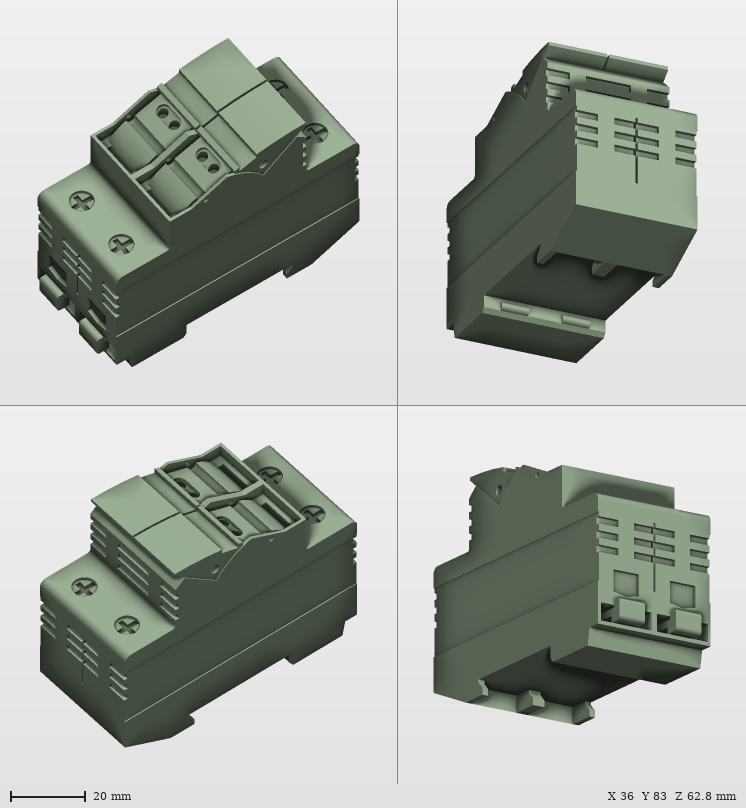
import cadquery as cq
import math


module_count = 2
module_width = 18.0
module_depth = 80.0
total_height = 62.8
shoulder_height = 42.0
shoulder_radius = 2.15
half_width = module_width / 2

tower_front = 17.5
tower_back = 62.6
tower_foot_radius = 0.9
tower_deck_z = 54.1
tower_slope_start_y = 24.8
tower_peak_y, tower_peak_z = 36.4, 59.3
tower_back_z = 56.8
tower_notch_y, tower_notch_z = 59.4, 59.4

pivot_y, pivot_z = 48.6, 55.4
pivot_diameter = 3.0
notch_bottom_y, notch_bottom_z = 48.4, 50.9
notch_arc_y, notch_arc_z = 43.8, 55.5
side_inset = 0.3
lever_back_z = 61.8
lever_arc_y, lever_arc_z = 55.2, 62.5
lever_step_y, lever_step_z = 46.4, 61.3
lever_step_height = 1.3
tab_back_y, tab_front_y = 40.7, 39.2
tab_foot_z = 58.3
tab_back_z, tab_front_z = 59.85, 59.35
tab_underside_z = 58.1

pocket_wall_front = 0.9
pocket_half_width = 8.1
pocket_floor_z = 50.4
drawer_half_width = 7.05
drawer_face_top_y, drawer_face_top_z = 39.35, 57.85
groove_back_y, groove_front_y = 30.7, 27.8
groove_edge_z = 54.9
groove_depth = 1.4
nose_radius = 14.6
nose_start_angle = 22.0
nose_foot_y = 19.8
nose_half_width = 5.2
axle_diameter = 1.6
axle_y, axle_z = 29.55, 54.45

probe_spacing = 5.1
probe_diameter = 3.0
probe_depth = 3.3
probe_y = 36.7
slot_width = 4.1
slot_depth = 1.0

rail_slot_height = 4.8
rail_slot_front, rail_slot_back = 23.1, 58.0
rail_hook_y = 56.1
rail_hook_tip_z, rail_hook_root_z = 1.9, 3.9
rear_foot_y = 64.25
hook_cheek = 1.8
rear_slope_z = 7.0
block_bottom_front, block_top_front = 5.1, 4.15
block_bottom_back = 22.1
block_corner_z = 1.3

relief_bottom, relief_top = 16.9, 36.3

vent_depth = 1.2
vent_height = 2.0
vent_pitch = 4.0
vent_inner_x = 2.4
body_vent_top = 35.0
tower_vent_top = 54.95
vent_rows = 3

marker_half_width = 4.1
marker_top, marker_side_bottom, marker_tip = 20.9, 14.8, 13.9
marker_depth = 1.2

latch_half_width = 4.1
latch_reach = 3.0
latch_bottom, latch_top = 6.2, 12.45
latch_radius = 1.2
latch_heel_z = 10.1
latch_heel_run = 0.8
latch_tab_back = 1.1
latch_arm_bottom = 8.1
window_half_width = 8.1
window_bottom, window_top = 5.9, 10.95
window_depth = 8.3
nub_reach = 1.0
nub_bottom, nub_top = 1.3, 3.8

screw_inset = 8.05
screw_diameter = 7.0
screw_sink = 1.0
cross_depth = 1.25
cross_width = 1.6
cross_length = 5.9


def extrude_across(profile, half):
    """Extrude a Y-Z outline symmetrically to both sides of the module's middle plane."""
    return profile.close().extrude(half, both=True)


def block(x_range, y_range, z_range):
    """Axis-aligned box between the given limits."""
    (x0, x1), (y0, y1), (z0, z1) = x_range, y_range, z_range
    return cq.Workplane("XY").box(x1 - x0, y1 - y0, z1 - z0, centered=False).translate((x0, y0, z0))


def cross_pin(y, z, diameter):
    """Cylinder running across the whole module."""
    return cq.Workplane("YZ").center(y, z).circle(diameter / 2).extrude(module_width, both=True)


def make_housing():
    diagonal = math.sqrt(0.5)
    bend = shoulder_radius * (1 - diagonal)
    foot_bend = tower_foot_radius * (1 - diagonal)
    foot_z = shoulder_height + tower_foot_radius
    outline = (
        cq.Workplane("YZ")
        .moveTo(block_bottom_front, 0)
        .lineTo(block_top_front, rail_slot_height)
        .lineTo(0, rail_slot_height)
        .lineTo(0, shoulder_height - shoulder_radius)
        .threePointArc((bend, shoulder_height - bend), (shoulder_radius, shoulder_height))
        .lineTo(tower_front - tower_foot_radius, shoulder_height)
        .threePointArc((tower_front - foot_bend, shoulder_height + foot_bend), (tower_front, foot_z))
        .lineTo(tower_front, tower_deck_z)
        .lineTo(tower_slope_start_y, tower_deck_z)
        .lineTo(tower_peak_y, tower_peak_z)
        .threePointArc((notch_arc_y, notch_arc_z), (notch_bottom_y, notch_bottom_z))
        .lineTo(tower_notch_y, tower_notch_z)
        .lineTo(tower_back, tower_back_z)
        .lineTo(tower_back, foot_z)
        .threePointArc(
            (tower_back + foot_bend, shoulder_height + foot_bend),
            (tower_back + tower_foot_radius, shoulder_height),
        )
        .lineTo(module_depth - shoulder_radius, shoulder_height)
        .threePointArc(
            (module_depth - bend, shoulder_height - bend),
            (module_depth, shoulder_height - shoulder_radius),
        )
        .lineTo(module_depth, rear_slope_z)
        .lineTo(rear_foot_y, 0)
        .lineTo(rail_hook_y, 0)
        .lineTo(rail_hook_y, rail_hook_tip_z)
        .lineTo(rail_slot_back, rail_hook_root_z)
        .lineTo(rail_slot_back, rail_slot_height)
        .lineTo(rail_slot_front, rail_slot_height)
        .lineTo(rail_slot_front, block_corner_z)
        .lineTo(block_bottom_back, 0)
    )
    return extrude_across(outline, half_width)


def make_hook_gap():
    """Gap in the rear foot that leaves a rail hook only at each side."""
    half_gap = half_width - hook_cheek
    return block((-half_gap, half_gap), (rail_hook_y, rear_foot_y), (0, rail_slot_height))


def make_side_reliefs():
    """Shallow bands cleared along the full length of both sides."""
    depth_range = (0, module_depth)
    height_range = (relief_bottom, relief_top)
    left = block((-half_width, side_inset - half_width), depth_range, height_range)
    right = block((half_width - side_inset, half_width), depth_range, height_range)
    return left.union(right)


def make_vents():
    """Three rows of slots, open to the sides, on the front, back and tower back."""
    walls = [
        (0, vent_depth, body_vent_top),
        (module_depth - vent_depth, module_depth, body_vent_top),
        (tower_back - vent_depth, tower_back, tower_vent_top),
    ]
    vents = cq.Workplane("XY")
    for y_start, y_end, top in walls:
        for row in range(vent_rows):
            row_top = top - row * vent_pitch
            height_range = (row_top - vent_height, row_top)
            for x_range in ((-half_width, -vent_inner_x), (vent_inner_x, half_width)):
                vents = vents.add(block(x_range, (y_start, y_end), height_range))
    return vents.combine()


def make_marker_recess():
    """Pentagonal label recess, pointed at the bottom."""
    return (
        cq.Workplane("XZ")
        .polyline([
            (-marker_half_width, marker_top),
            (marker_half_width, marker_top),
            (marker_half_width, marker_side_bottom),
            (0, marker_tip),
            (-marker_half_width, marker_side_bottom),
        ])
        .close()
        .extrude(-marker_depth)
    )


def make_pocket():
    """Open fuse pocket that runs back underneath the lever."""
    x_range = (-pocket_half_width, pocket_half_width)
    return block(x_range, (tower_front + pocket_wall_front, notch_bottom_y), (pocket_floor_z, total_height))


def make_lever():
    outline = (
        cq.Workplane("YZ")
        .moveTo(notch_bottom_y, notch_bottom_z)
        .lineTo(tower_back, lever_back_z)
        .lineTo(tower_back, total_height)
        .threePointArc((lever_arc_y, lever_arc_z), (lever_step_y, lever_step_z))
        .lineTo(lever_step_y, lever_step_z - lever_step_height)
        .lineTo(tab_back_y, tab_foot_z)
        .lineTo(tab_back_y, tab_back_z)
        .lineTo(tab_front_y, tab_front_z)
        .lineTo(tab_front_y, tab_underside_z)
        .threePointArc((notch_arc_y, notch_arc_z), (notch_bottom_y, notch_bottom_z))
    )
    return extrude_across(outline, half_width - side_inset)


nose_axis_y = groove_front_y + nose_radius * math.sin(math.radians(nose_start_angle))
nose_axis_z = groove_edge_z - nose_radius * math.cos(math.radians(nose_start_angle))


def nose_height(y):
    """Height of the drawer nose surface at a given depth."""
    return nose_axis_z + math.sqrt(nose_radius**2 - (y - nose_axis_y) ** 2)


def make_drawer(front_y, half):
    """Fuse drawer with a sloping face, a round grip groove and a curved nose ending at front_y."""
    foot_z = nose_height(front_y)
    middle_y = (front_y + groove_front_y) / 2
    groove_middle_y = (groove_front_y + groove_back_y) / 2
    outline = (
        cq.Workplane("YZ")
        .moveTo(front_y, foot_z)
        .threePointArc((middle_y, nose_height(middle_y)), (groove_front_y, groove_edge_z))
        .threePointArc((groove_middle_y, groove_edge_z - groove_depth), (groove_back_y, groove_edge_z))
        .lineTo(drawer_face_top_y, drawer_face_top_z)
        .lineTo(notch_bottom_y, drawer_face_top_z)
        .lineTo(notch_bottom_y, foot_z)
    )
    return extrude_across(outline, half)


def make_nose_well():
    """Slot in the pocket floor for the narrow foot of the nose."""
    x_range = (-nose_half_width, nose_half_width)
    return block(x_range, (nose_foot_y, groove_front_y), (nose_height(nose_foot_y), pocket_floor_z))


def make_probe_openings():
    """Shallow round-ended slot square to the drawer face, with two upright holes in its floor."""
    slope = math.atan2(drawer_face_top_z - groove_edge_z, drawer_face_top_y - groove_back_y)
    face_z = groove_edge_z + (probe_y - groove_back_y) * math.tan(slope)
    face = cq.Plane(
        origin=(0, probe_y, face_z), xDir=(1, 0, 0), normal=(0, -math.sin(slope), math.cos(slope))
    )
    slot = cq.Workplane(face).slot2D(probe_spacing + slot_width, slot_width).extrude(-slot_depth)
    holes = (
        cq.Workplane("XY", origin=(0, probe_y, face_z))
        .pushPoints([(-probe_spacing / 2, 0), (probe_spacing / 2, 0)])
        .circle(probe_diameter / 2)
        .extrude(-probe_depth)
    )
    return slot.union(holes)


def make_latch_window():
    x_range = (-window_half_width, window_half_width)
    return block(x_range, (0, window_depth), (window_bottom, window_top))


def make_latch():
    """Rail latch: a pull tab in front, an arm into the window and a nub facing the rail."""
    bend = latch_radius * (1 - math.sqrt(0.5))
    front = -latch_reach
    tab_and_arm = extrude_across(
        cq.Workplane("YZ")
        .moveTo(0, latch_heel_z)
        .lineTo(-latch_heel_run, latch_top)
        .lineTo(front + latch_radius, latch_top)
        .threePointArc((front + bend, latch_top - bend), (front, latch_top - latch_radius))
        .lineTo(front, latch_bottom + latch_radius)
        .threePointArc((front + bend, latch_bottom + bend), (front + latch_radius, latch_bottom))
        .lineTo(latch_tab_back, latch_bottom)
        .lineTo(latch_tab_back, latch_arm_bottom)
        .lineTo(window_depth, latch_arm_bottom)
        .lineTo(window_depth, latch_heel_z),
        latch_half_width,
    )
    nub = extrude_across(
        cq.Workplane("YZ")
        .moveTo(rail_slot_front, nub_bottom)
        .threePointArc(
            (rail_slot_front + nub_reach, (nub_bottom + nub_top) / 2), (rail_slot_front, nub_top)
        ),
        latch_half_width,
    )
    return tab_and_arm.union(nub)


def make_screw_recess(y):
    """Sunken terminal screw head with a crossed driver slot."""
    floor = cq.Workplane("XY", origin=(0, y, shoulder_height - screw_sink))
    sink = floor.circle(screw_diameter / 2).extrude(screw_sink)
    under_head = floor.circle(screw_diameter / 2).extrude(-cross_depth)
    long_arm = floor.rect(cross_width, screw_diameter).extrude(-cross_depth).intersect(under_head)
    short_arm = floor.rect(cross_length, cross_width).extrude(-cross_depth)
    return sink.union(long_arm).union(short_arm)


def make_module():
    body = make_housing()
    body = body.cut(make_hook_gap())
    body = body.cut(make_side_reliefs())
    body = body.cut(make_vents())
    body = body.cut(make_marker_recess())
    body = body.cut(make_pocket())
    body = body.cut(make_nose_well())
    body = body.union(make_lever())
    nose_floor_y = nose_axis_y - math.sqrt(nose_radius**2 - (pocket_floor_z - nose_axis_z) ** 2)
    body = body.union(make_drawer(nose_floor_y, drawer_half_width))
    body = body.union(make_drawer(nose_foot_y, nose_half_width))
    body = body.cut(make_probe_openings())
    body = body.cut(cross_pin(pivot_y, pivot_z, pivot_diameter))
    body = body.cut(cross_pin(axle_y, axle_z, axle_diameter))
    body = body.cut(make_latch_window())
    body = body.union(make_latch())
    for screw_y in (screw_inset, module_depth - screw_inset):
        body = body.cut(make_screw_recess(screw_y))
    return body


modules = []
for index in range(module_count):
    offset = (index - (module_count - 1) / 2) * module_width
    modules.append(make_module().translate((offset, 0, 0)).val())

result = cq.Compound.makeCompound(modules)